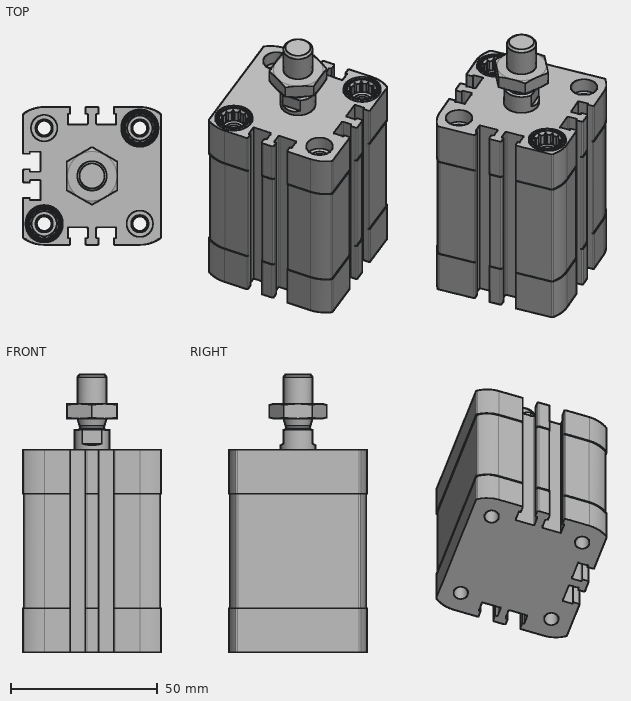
import cadquery as cq
import math

TOTAL_HEIGHT = 94.6
CAP_WIDTH = 47.0
CAP_HEIGHT = 15.0
HOUSING_HEIGHT = 69.0
TUBE_INSET = 0.3

CORNER_ARC_RADIUS = 12.0
CORNER_ROUND = 0.8

HOLE_OFFSET = 16.3
HOLE_DIAMETER = 4.9
HOLE_MOUTH_DIAMETER = 6.0
RECESS_DIAMETER = 9.0
RECESS_DEPTH = 5.0

SCREW_GROOVE_DIAMETER = 12.8
SCREW_HEAD_DIAMETER = 11.9
SCREW_GROOVE_DEPTH = 1.0
SCREW_HEAD_CHAMFER = 0.5
SOCKET_MOUTH_DIAMETER = 10.0
SOCKET_MOUTH_DEPTH = 1.1
SOCKET_DIAMETER = 8.5
SOCKET_POINT_DIAMETER = 9.5
SOCKET_POINT_DEPTH = 4.5
SOCKET_SQUARES = 3

SLOT_MOUTH_INNER = 2.3
SLOT_MOUTH_OUTER = 7.5
SLOT_WIDE_INNER = 1.4
SLOT_WIDE_OUTER = 8.1
SLOT_LIP = 2.4
SLOT_DEPTH = 6.0
FLANGE_ROUND = 0.5
MOUTH_ROUND = 0.3
WEB_ROUND = 0.4

ROD_DIAMETER = 12.0
THREAD_DIAMETER = 10.0
ROD_SHOULDER = 6.7
NECK_BOTTOM = 7.3
NECK_TOP = 8.2
NECK_DIAMETER = 8.2
NECK_FOOT_DIAMETER = 9.0
THREAD_START_DIAMETER = 8.6
FLATS_WIDTH = 10.0
FLATS_BOTTOM = 2.1
FLATS_RUNOUT = 0.6
ROD_TIP_DIAMETER = 8.5
ROD_TIP_CHAMFER = 0.9

NUT_BOTTOM = 10.6
NUT_THICKNESS = 5.0
NUT_ACROSS_FLATS = 17.0
NUT_FACE_DIAMETER = 16.8
NUT_CHAMFER_HEIGHT = 0.4

CAP_FACE = CAP_WIDTH / 2
NUT_ACROSS_CORNERS = NUT_ACROSS_FLATS / math.cos(math.radians(30))


def revolved(points):
    """Solid of revolution about Z from (radius, height) points."""
    return cq.Workplane("XZ").polyline(points).close().revolve(360, (0, 0, 0), (0, 1, 0))


def outline_prism(face, bottom, height):
    """Square prism with arched corners, its sides at the distance face from the axis."""
    radius = CORNER_ARC_RADIUS - (CAP_FACE - face)
    center = face - radius
    flat = HOLE_OFFSET

    def arc_height(x):
        return center + math.sqrt(radius**2 - (x - flat)**2)

    side = arc_height(face)
    middle = (face + flat) / 2
    bow = arc_height(middle)
    return (
        cq.Workplane("XY", origin=(0, 0, bottom))
        .moveTo(-flat, face)
        .lineTo(flat, face)
        .threePointArc((middle, bow), (face, side))
        .lineTo(face, -side)
        .threePointArc((middle, -bow), (flat, -face))
        .lineTo(-flat, -face)
        .threePointArc((-middle, -bow), (-face, -side))
        .lineTo(-face, side)
        .threePointArc((-middle, bow), (-flat, face))
        .close()
        .extrude(height)
        .edges("|Z and (>X or <X)")
        .fillet(CORNER_ROUND)
    )


def slot_cutter(face, bottom, height):
    """One T-slot open to the +Y side, with rounds that widen its mouth."""
    lip = CAP_FACE - SLOT_LIP
    floor = CAP_FACE - SLOT_DEPTH
    web = WEB_ROUND
    bulge = 1 - math.sqrt(0.5)
    return (
        cq.Workplane("XY", origin=(0, 0, bottom))
        .moveTo(SLOT_MOUTH_INNER - FLANGE_ROUND, face)
        .threePointArc(
            (SLOT_MOUTH_INNER - FLANGE_ROUND * bulge, face - FLANGE_ROUND * bulge),
            (SLOT_MOUTH_INNER, face - FLANGE_ROUND),
        )
        .lineTo(SLOT_MOUTH_INNER, lip)
        .lineTo(SLOT_WIDE_INNER + web, lip)
        .threePointArc(
            (SLOT_WIDE_INNER + web * bulge, lip - web * bulge),
            (SLOT_WIDE_INNER, lip - web),
        )
        .lineTo(SLOT_WIDE_INNER, floor + web)
        .threePointArc(
            (SLOT_WIDE_INNER + web * bulge, floor + web * bulge),
            (SLOT_WIDE_INNER + web, floor),
        )
        .lineTo(SLOT_WIDE_OUTER, floor)
        .lineTo(SLOT_WIDE_OUTER, lip)
        .lineTo(SLOT_MOUTH_OUTER, lip)
        .lineTo(SLOT_MOUTH_OUTER, face - MOUTH_ROUND)
        .threePointArc(
            (SLOT_MOUTH_OUTER + MOUTH_ROUND * bulge, face - MOUTH_ROUND * bulge),
            (SLOT_MOUTH_OUTER + MOUTH_ROUND, face),
        )
        .close()
        .extrude(height)
    )


def housing_section(face, bottom, height):
    """A length of housing with slot pairs on the +Y, -X and -Y sides."""
    section = outline_prism(face, bottom, height)
    slot = slot_cutter(face, bottom, height)
    slot_pair = slot.union(slot.mirror("YZ"))
    for angle in (0, 90, 180):
        section = section.cut(slot_pair.rotate((0, 0, 0), (0, 0, 1), angle))
    return section


def mounting_hole():
    """Through hole with a countersunk mouth at the recess floor."""
    floor = HOUSING_HEIGHT - RECESS_DEPTH
    hole = HOLE_DIAMETER / 2
    mouth = HOLE_MOUTH_DIAMETER / 2
    return revolved([(0, 0), (hole, 0), (hole, floor - (mouth - hole)), (mouth, floor), (0, floor)])


def plain_recess():
    """Round recess above a mounting hole."""
    return (
        cq.Workplane("XY", origin=(0, 0, HOUSING_HEIGHT - RECESS_DEPTH))
        .circle(RECESS_DIAMETER / 2)
        .extrude(RECESS_DEPTH)
    )


def screw_groove():
    """Ring groove around a screw head, widened at the top by the head chamfer."""
    outer = SCREW_GROOVE_DIAMETER / 2
    head = SCREW_HEAD_DIAMETER / 2
    bottom = HOUSING_HEIGHT - SCREW_GROOVE_DEPTH
    return revolved([
        (head, bottom),
        (outer, bottom),
        (outer, HOUSING_HEIGHT),
        (head - SCREW_HEAD_CHAMFER, HOUSING_HEIGHT),
        (head, HOUSING_HEIGHT - SCREW_HEAD_CHAMFER),
    ])


def screw_socket():
    """Twelve-point socket with a countersunk mouth."""
    mouth = SOCKET_MOUTH_DIAMETER / 2
    wall = SOCKET_DIAMETER / 2
    floor = HOUSING_HEIGHT - RECESS_DEPTH
    socket = revolved([
        (0, floor),
        (wall, floor),
        (wall, HOUSING_HEIGHT - SOCKET_MOUTH_DEPTH),
        (mouth, HOUSING_HEIGHT),
        (0, HOUSING_HEIGHT),
    ])
    square = (
        cq.Workplane("XY", origin=(0, 0, HOUSING_HEIGHT - SOCKET_POINT_DEPTH))
        .polygon(4, SOCKET_POINT_DIAMETER)
        .extrude(SOCKET_POINT_DEPTH)
    )
    for index in range(SOCKET_SQUARES):
        socket = socket.union(square.rotate((0, 0, 0), (0, 0, 1), index * 90 / SOCKET_SQUARES))
    return socket


def make_housing():
    tube_face = CAP_FACE - TUBE_INSET
    tube_top = HOUSING_HEIGHT - CAP_HEIGHT
    housing = (
        housing_section(CAP_FACE, 0, CAP_HEIGHT)
        .union(housing_section(tube_face, CAP_HEIGHT, tube_top - CAP_HEIGHT))
        .union(housing_section(CAP_FACE, tube_top, CAP_HEIGHT))
    )
    hole, recess, groove, socket = mounting_hole(), plain_recess(), screw_groove(), screw_socket()
    for x_side in (-1, 1):
        for y_side in (-1, 1):
            corner = (x_side * HOLE_OFFSET, y_side * HOLE_OFFSET, 0)
            housing = housing.cut(hole.translate(corner))
            if x_side == y_side:
                housing = housing.cut(groove.translate(corner)).cut(socket.translate(corner))
            else:
                housing = housing.cut(recess.translate(corner))
    bearing = (
        cq.Workplane("XY", origin=(0, 0, tube_top)).circle(ROD_DIAMETER / 2).extrude(CAP_HEIGHT)
    )
    return housing.cut(bearing)


def rod_flat():
    """Cutter for the wrench flat on the -Y side, with a sloped floor."""
    flat = -FLATS_WIDTH / 2
    rim = -ROD_DIAMETER / 2
    bottom = HOUSING_HEIGHT + FLATS_BOTTOM
    top = HOUSING_HEIGHT + ROD_SHOULDER
    return (
        cq.Workplane("YZ")
        .polyline([(flat, bottom), (flat, top), (rim, top), (rim, bottom - FLATS_RUNOUT)])
        .close()
        .extrude(ROD_DIAMETER / 2, both=True)
    )


def make_rod():
    base = HOUSING_HEIGHT
    rod = revolved([
        (0, base - CAP_HEIGHT),
        (ROD_DIAMETER / 2, base - CAP_HEIGHT),
        (ROD_DIAMETER / 2, base + ROD_SHOULDER),
        (NECK_FOOT_DIAMETER / 2, base + ROD_SHOULDER),
        (NECK_DIAMETER / 2, base + NECK_BOTTOM),
        (NECK_DIAMETER / 2, base + NECK_TOP),
        (THREAD_START_DIAMETER / 2, base + NECK_TOP),
        (THREAD_DIAMETER / 2, base + NUT_BOTTOM),
        (THREAD_DIAMETER / 2, TOTAL_HEIGHT - ROD_TIP_CHAMFER),
        (ROD_TIP_DIAMETER / 2, TOTAL_HEIGHT),
        (0, TOTAL_HEIGHT),
    ])
    flat = rod_flat()
    return rod.cut(flat).cut(flat.mirror("XZ"))


def make_nut():
    bottom = HOUSING_HEIGHT + NUT_BOTTOM
    top = bottom + NUT_THICKNESS
    face = NUT_FACE_DIAMETER / 2
    corner = NUT_ACROSS_CORNERS / 2
    hexagon = (
        cq.Workplane("XY", origin=(0, 0, bottom))
        .polygon(6, NUT_ACROSS_CORNERS)
        .extrude(NUT_THICKNESS)
        .rotate((0, 0, 0), (0, 0, 1), 90)
    )
    barrel = revolved([
        (0, bottom),
        (face, bottom),
        (corner, bottom + NUT_CHAMFER_HEIGHT),
        (corner, top - NUT_CHAMFER_HEIGHT),
        (face, top),
        (0, top),
    ])
    bore = (
        cq.Workplane("XY", origin=(0, 0, bottom)).circle(THREAD_DIAMETER / 2).extrude(NUT_THICKNESS)
    )
    return hexagon.intersect(barrel).cut(bore)


housing = make_housing()
rod = make_rod()
nut = make_nut()
result = cq.Compound.makeCompound([housing.val(), rod.val(), nut.val()])